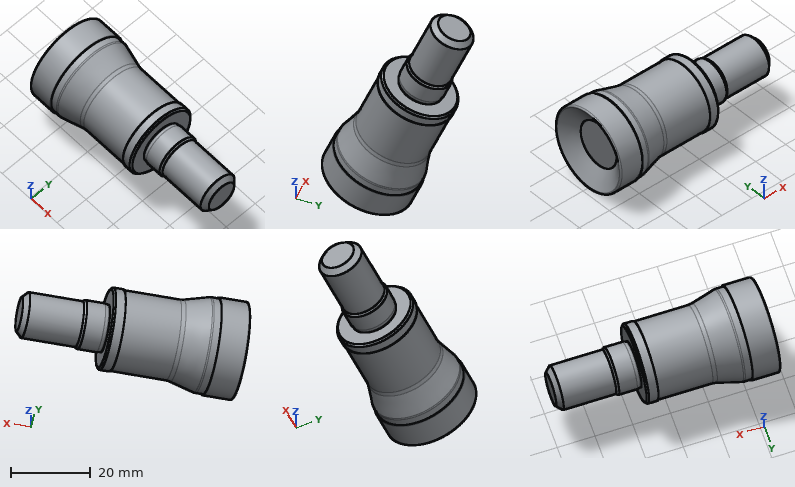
import cadquery as cq
import math

TOTAL_LENGTH = 56.65

CUP_DIAMETER = 25.0
CUP_LENGTH = 7.35
LIP_ROUND = 0.4
CUP_BACK_ROUND = 0.15
DISH_FLOOR_DIAMETER = 13.6
DISH_SLOPE_DEGREES = 34.0

HEAD_DIAMETER = 24.4
BARREL_DIAMETER = 20.6
FLANGE_DIAMETER = 21.0
NECK_DIAMETER = 12.1
SHOULDER_DIAMETER = 12.5
SHAFT_DIAMETER = 11.7

HEAD_END = 9.3
TAPER_START = 9.75
TAPER_END = 16.1
BARREL_START = 17.2
FLANGE_START = 31.6
FLANGE_END = 34.65
NECK_END = 35.0
SHOULDER_START = 35.85
SHOULDER_END = 40.6
SHAFT_START = 41.3

FLANGE_FRONT_ROUND = 0.15
FLANGE_BACK_CHAMFER = 0.5
TIP_CHAMFER = 1.5

AXIS_START = (0, 0, 0)
AXIS_END = (1, 0, 0)


def turn(profile):
    """Revolve a closed half profile, drawn as (x, radius), about the X axis."""
    return profile.close().revolve(360, AXIS_START, AXIS_END)


def make_cup():
    """Short cylinder with a flat-bottomed conical dish; the lip arc is tangent to wall and cone."""
    radius = CUP_DIAMETER / 2
    floor_radius = DISH_FLOOR_DIAMETER / 2
    slope = math.radians(DISH_SLOPE_DEGREES)
    lip_center_radius = radius - LIP_ROUND
    cone_start_x = LIP_ROUND * (1 - math.cos(slope))
    cone_start_radius = lip_center_radius - LIP_ROUND * math.sin(slope)
    floor_x = cone_start_x + (cone_start_radius - floor_radius) * math.tan(slope)

    blank = turn(
        cq.Workplane("XY")
        .moveTo(floor_x, 0)
        .lineTo(floor_x, floor_radius)
        .lineTo(cone_start_x, cone_start_radius)
        .threePointArc((0, lip_center_radius), (LIP_ROUND, radius))
        .lineTo(CUP_LENGTH, radius)
        .lineTo(CUP_LENGTH, 0)
    )
    return blank.faces(">X").edges().fillet(CUP_BACK_ROUND)


def make_head_and_barrel():
    """Head behind the cup, tapering through rounded corners into the barrel."""
    head_radius = HEAD_DIAMETER / 2
    barrel_radius = BARREL_DIAMETER / 2
    head_corner = (HEAD_END + TAPER_START) / 2
    barrel_corner = (TAPER_END + BARREL_START) / 2
    slope = math.atan((head_radius - barrel_radius) / (barrel_corner - head_corner))
    head_arc = (TAPER_START - HEAD_END) / math.sin(slope)
    barrel_arc = (BARREL_START - TAPER_END) / math.sin(slope)

    blank = turn(
        cq.Workplane("XY")
        .moveTo(CUP_LENGTH, 0)
        .lineTo(CUP_LENGTH, head_radius)
        .lineTo(head_corner, head_radius)
        .lineTo(barrel_corner, barrel_radius)
        .lineTo(FLANGE_START, barrel_radius)
        .lineTo(FLANGE_START, 0)
    )
    head_edge = cq.NearestToPointSelector((head_corner, 0, 0))
    barrel_edge = cq.NearestToPointSelector((barrel_corner, 0, 0))
    return (
        blank
        .edges("%CIRCLE").edges(head_edge).fillet(head_arc)
        .edges("%CIRCLE").edges(barrel_edge).fillet(barrel_arc)
    )


def make_flange():
    """Thin collar at the back end of the barrel."""
    return (
        cq.Workplane("YZ", origin=(FLANGE_START, 0, 0))
        .circle(FLANGE_DIAMETER / 2)
        .extrude(FLANGE_END - FLANGE_START)
        .faces("<X").edges().fillet(FLANGE_FRONT_ROUND)
        .faces(">X").edges().chamfer(FLANGE_BACK_CHAMFER)
    )


def make_shaft():
    """Neck, shoulder and shaft with a chamfered tip."""
    shaft_radius = SHAFT_DIAMETER / 2
    return turn(
        cq.Workplane("XY")
        .moveTo(FLANGE_END, 0)
        .lineTo(FLANGE_END, NECK_DIAMETER / 2)
        .lineTo(NECK_END, NECK_DIAMETER / 2)
        .lineTo(SHOULDER_START, SHOULDER_DIAMETER / 2)
        .lineTo(SHOULDER_END, SHOULDER_DIAMETER / 2)
        .lineTo(SHAFT_START, shaft_radius)
        .lineTo(TOTAL_LENGTH - TIP_CHAMFER, shaft_radius)
        .lineTo(TOTAL_LENGTH, shaft_radius - TIP_CHAMFER)
        .lineTo(TOTAL_LENGTH, 0)
    )


def make_stem():
    """Head, barrel, flange and shaft as one turned solid."""
    return make_head_and_barrel().union(make_flange()).union(make_shaft())


cup = make_cup()
stem = make_stem()

result = cq.Compound.makeCompound([cup.val(), stem.val()])